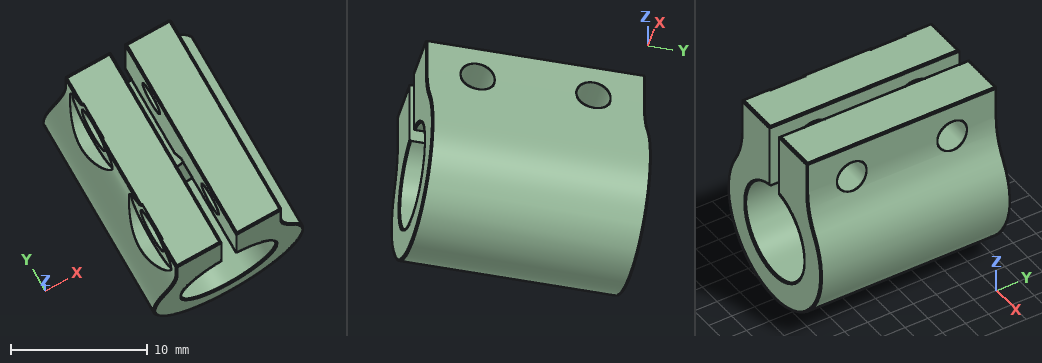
import cadquery as cq
import math

length = 16.57
height = 15.82
body_diameter = 12.68
ear_width = 8.9
blend_radius = 6.5
edge_chamfer = 0.1

bore_radius = 4.0
bore_depth = 8.24
small_bore_radius = 2.37
drill_tip_angle = 118.0
slot_width = 1.26

screw_spacing = 8.77
screw_height = 6.65
seat_radius = 3.16
seat_x = -4.26
clearance_radius = 1.72
tap_radius = 1.3

body_radius = body_diameter / 2
front_y = -length / 2
top_z = height - body_radius
half_ear = ear_width / 2
screw_positions = (-screw_spacing / 2, screw_spacing / 2)


def make_body():
    """Round barrel blended tangentially into the straight sides of the ears."""
    blend_x = half_ear + blend_radius
    center_distance = body_radius + blend_radius
    blend_z = math.sqrt(center_distance**2 - blend_x**2)
    tangent_x = body_radius * blend_x / center_distance
    tangent_z = body_radius * blend_z / center_distance
    mid_angle = math.atan2(blend_z, blend_x) / 2
    mid_x = blend_x - blend_radius * math.cos(mid_angle)
    mid_z = blend_z - blend_radius * math.sin(mid_angle)

    body = (
        cq.Workplane("XZ", origin=(0, -front_y, 0))
        .moveTo(-half_ear, top_z)
        .lineTo(half_ear, top_z)
        .lineTo(half_ear, blend_z)
        .threePointArc((mid_x, mid_z), (tangent_x, tangent_z))
        .threePointArc((0, -body_radius), (-tangent_x, tangent_z))
        .threePointArc((-mid_x, mid_z), (-half_ear, blend_z))
        .close()
        .extrude(length)
    )
    return body.edges("<Y or >Y or (>Z and |Y)").chamfer(edge_chamfer)


def make_bore():
    """Wide bore with a chamfered mouth and a drill-point cone down to the small bore."""
    cone_length = (bore_radius - small_bore_radius) / math.tan(math.radians(drill_tip_angle / 2))
    cone_start = front_y + bore_depth
    profile = [
        (0, front_y),
        (bore_radius + edge_chamfer, front_y),
        (bore_radius, front_y + edge_chamfer),
        (bore_radius, cone_start),
        (small_bore_radius, cone_start + cone_length),
        (small_bore_radius, -front_y),
        (0, -front_y),
    ]
    return cq.Workplane("XY").polyline(profile).close().revolve(360, (0, 0, 0), (0, 1, 0))


def make_slot():
    """Clamping slot from the bore up through the top, with chamfered top edges."""
    half_slot = slot_width / 2
    profile = [
        (-half_slot, 0),
        (half_slot, 0),
        (half_slot, top_z - edge_chamfer),
        (half_slot + edge_chamfer, top_z),
        (-half_slot - edge_chamfer, top_z),
        (-half_slot, top_z - edge_chamfer),
    ]
    return cq.Workplane("XZ", origin=(0, -front_y, 0)).polyline(profile).close().extrude(length)


def make_screw_cut(y, radius, start_x, end_x):
    """Cylinder along X at screw height."""
    return (
        cq.Workplane("YZ", origin=(start_x, y, screw_height))
        .circle(radius)
        .extrude(end_x - start_x)
    )


result = make_body().cut(make_bore()).cut(make_slot())
for screw_y in screw_positions:
    result = result.cut(make_screw_cut(screw_y, seat_radius, -body_radius, seat_x))
    result = result.cut(make_screw_cut(screw_y, clearance_radius, seat_x, 0))
    result = result.cut(make_screw_cut(screw_y, tap_radius, 0, body_radius))